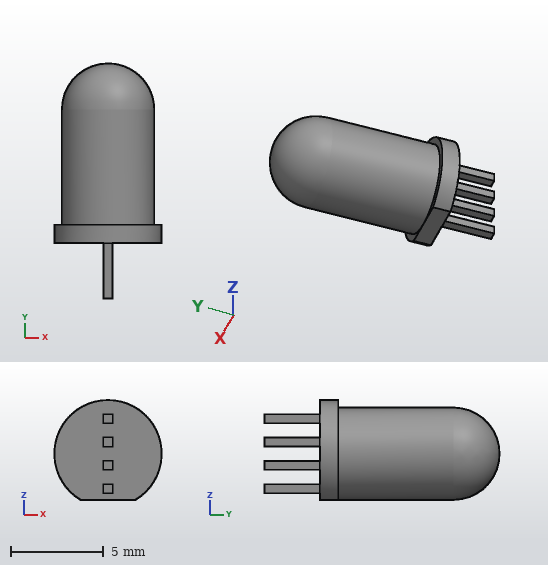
import cadquery as cq

total_length = 12.7
body_diameter = 5.0
flange_diameter = 5.8
flange_thickness = 1.0
lead_length = 3.0
lead_width = 0.5
lead_pitch = 1.26
lead_count = 4

body_radius = body_diameter / 2
flange_radius = flange_diameter / 2
dome_tip = total_length - lead_length
dome_base = dome_tip - body_radius
lead_embed = flange_thickness / 2


def make_lens():
    """Cylinder ending in a hemisphere, revolved about the Y axis."""
    dome_mid = body_radius * 0.5 ** 0.5
    return (
        cq.Workplane("XY")
        .lineTo(body_radius, 0)
        .lineTo(body_radius, dome_base)
        .threePointArc((dome_mid, dome_base + dome_mid), (0, dome_tip))
        .close()
        .revolve(360, (0, 0), (0, 1))
    )


def make_flange():
    """Round rim with a flat underneath, level with the bottom of the lens."""
    rim = cq.Workplane("XZ").circle(flange_radius).extrude(-flange_thickness)
    keep_height = body_radius + flange_radius
    keep = cq.Workplane("XY").box(
        flange_diameter, flange_thickness, keep_height, centered=(True, False, False)
    )
    return rim.intersect(keep.translate((0, 0, -body_radius)))


def make_leads():
    """Square leads in a vertical row centred on the lens axis."""
    return (
        cq.Workplane("XZ", origin=(0, lead_embed, 0))
        .rarray(lead_pitch, lead_pitch, 1, lead_count)
        .rect(lead_width, lead_width)
        .extrude(lead_length + lead_embed)
    )


result = make_lens().union(make_flange()).union(make_leads())